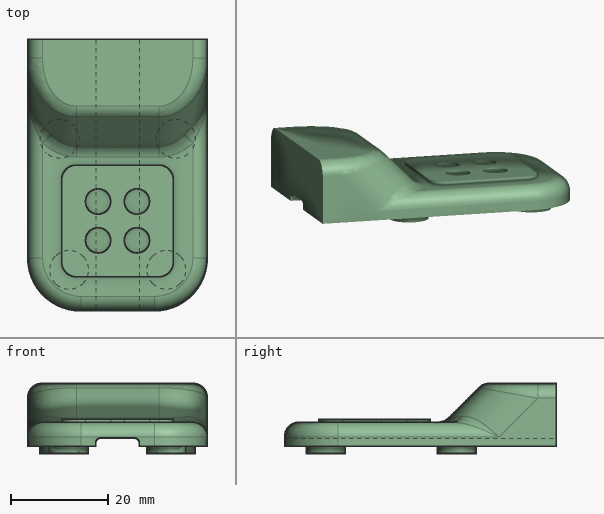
import cadquery as cq

width = 37.0
length = 56.0
plate_height = 5.0
plate_corner_radius = 11.0
edge_radius = 3.0

block_height = 13.0
block_top_depth = 15.0
block_corner_radius = 10.0

pad_size = 23.0
pad_height = 0.6
pad_corner_radius = 3.0
pad_centre_from_back = 37.45
recess_diameter = 5.2
recess_spacing = 8.0

foot_diameter = 8.0
foot_height = 1.5
rear_feet = (12.0, 20.5)
front_feet = (10.0, 47.5)

channel_width = 8.95
channel_height = 1.7
channel_corner_radius = 1.0

tolerance = 0.05

back = length / 2
pad_y = back - pad_centre_from_back


def make_plate():
    plate = cq.Workplane("XY").box(width, length, plate_height, centered=(True, True, False))
    plate = plate.edges("|Z and <Y").fillet(plate_corner_radius)
    return plate.faces(">Z").edges("not >Y").fillet(edge_radius)


def make_block():
    top_front = back - block_top_depth
    foot_front = top_front - block_height
    profile = [(back, 0), (back, block_height), (top_front, block_height), (foot_front, 0)]
    block = cq.Workplane("YZ").polyline(profile).close().extrude(width / 2, both=True)
    slope_side_edges = cq.selectors.ParallelDirSelector(cq.Vector(0, 1, 1))
    block = block.edges(slope_side_edges).fillet(block_corner_radius)
    return block.faces(">Z").edges("not >Y").fillet(edge_radius)


def blend_block_into_plate(body):
    slope_foot = cq.selectors.BoxSelector(
        (-width, back - block_top_depth - block_height, plate_height - tolerance),
        (width, back - block_top_depth, plate_height + tolerance),
        boundingbox=True,
    )
    return body.edges(slope_foot).fillet(edge_radius)


def make_pad():
    pad = cq.Workplane("XY", origin=(0, pad_y, plate_height)).rect(pad_size, pad_size).extrude(pad_height)
    pad = pad.edges("|Z").fillet(pad_corner_radius)
    return (
        pad.faces(">Z")
        .workplane()
        .rarray(recess_spacing, recess_spacing, 2, 2)
        .hole(recess_diameter)
    )


def make_feet(half_spacing, from_back):
    return (
        cq.Workplane("XY")
        .pushPoints([(side * half_spacing, back - from_back) for side in (-1, 1)])
        .circle(foot_diameter / 2)
        .extrude(-foot_height)
    )


def make_channel():
    channel = cq.Workplane("XY").box(channel_width, length, channel_height, centered=(True, True, False))
    return channel.edges("|Y and >Z").fillet(channel_corner_radius)


result = blend_block_into_plate(make_plate().union(make_block()))
result = result.cut(make_channel()).union(make_pad())
for half_spacing, from_back in (rear_feet, front_feet):
    result = result.union(make_feet(half_spacing, from_back))